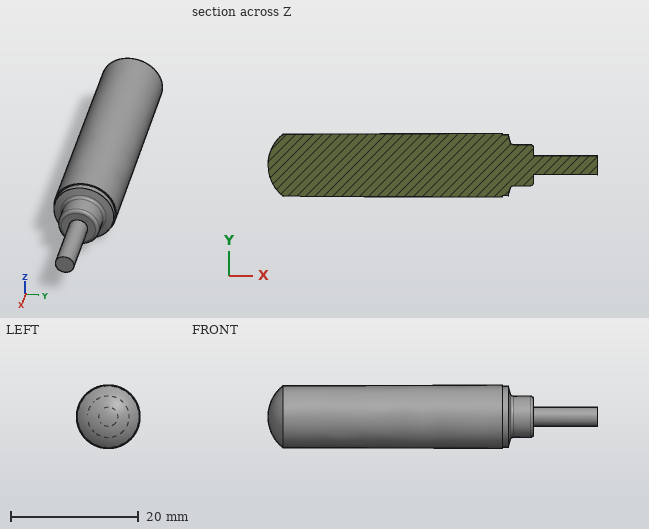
import cadquery as cq
import math

total_length = 51.6
dome_height = 2.35
body_end = 36.7
lip_length = 0.95
shoulder_length = 0.4
rod_length = 10.0

dome_diameter = 9.75
body_diameter = 10.0
lip_diameter = 9.6
collar_diameter = 6.5
rod_diameter = 3.0

collar_fillet = 0.5
edge_margin = 0.05

start = -total_length / 2
rim_x = start + dome_height
body_x = start + body_end
lip_x = body_x + lip_length
shoulder_x = lip_x + shoulder_length
rod_end_x = start + total_length
collar_x = rod_end_x - rod_length
dome_r = dome_diameter / 2
body_r = body_diameter / 2
lip_r = lip_diameter / 2
collar_r = collar_diameter / 2
rod_r = rod_diameter / 2

sphere_r = (dome_r**2 + dome_height**2) / (2 * dome_height)
half_angle = math.asin(dome_r / sphere_r) / 2
dome_mid = (start + sphere_r * (1 - math.cos(half_angle)), sphere_r * math.sin(half_angle))

body = (
    cq.Workplane("XY")
    .moveTo(start, 0)
    .threePointArc(dome_mid, (rim_x, dome_r))
    .lineTo(body_x, body_r)
    .lineTo(body_x, lip_r)
    .lineTo(lip_x, lip_r)
    .lineTo(shoulder_x, collar_r)
    .lineTo(collar_x, collar_r)
    .lineTo(collar_x, 0)
    .close()
    .revolve(360, (0, 0, 0), (1, 0, 0))
)

for edge_x in (shoulder_x, collar_x):
    edge_slab = cq.selectors.BoxSelector(
        (edge_x - edge_margin, -body_r, -body_r),
        (edge_x + edge_margin, body_r, body_r),
        boundingbox=True,
    )
    body = body.edges(edge_slab).fillet(collar_fillet)

rod = cq.Workplane("YZ", origin=(collar_x, 0, 0)).circle(rod_r).extrude(rod_length)

result = body.union(rod)